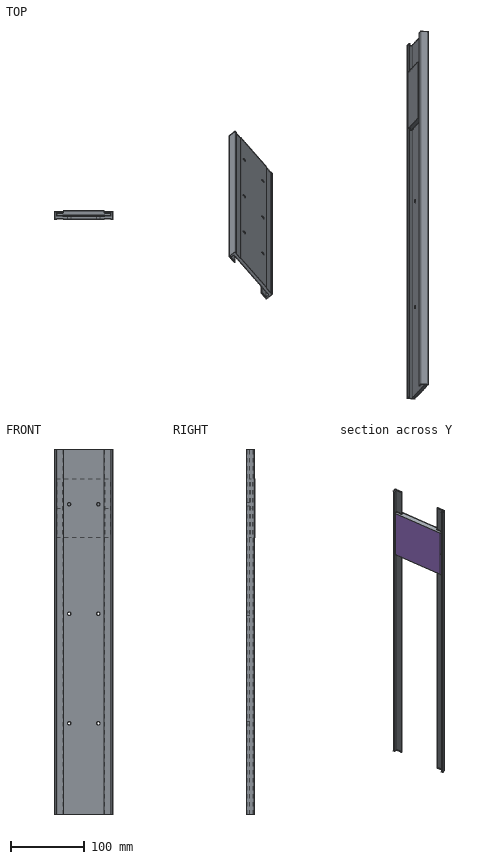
import cadquery as cq

rail_width = 80
rail_length = 500
rail_depth = 10.8
side_thickness = 2.5
floor_back = 4.5
lip_thickness = 1.4
lip_reach = 11.5
edge_radius = 0.5

middle_width = 56
groove_depth = 0.7
groove_fillet = 0.7

hole_diameter = 4.5
hole_spacing_x = 40
hole_pitch_z = 150
hole_rows = 3
top_hole_offset = 75

overall_depth = 12
carriage_length = 80
carriage_center_z = 169.4
neck_width = 56
shoulder_width = 58

glider_thickness = 1
gliders_per_side = 2

inner_x = rail_width / 2 - side_thickness
mouth_x = rail_width / 2 - lip_reach
lip_front = rail_depth - lip_thickness
flange_x = inner_x - glider_thickness
flange_front = floor_back + glider_thickness
flange_back = lip_front - glider_thickness
glider_length = carriage_length / gliders_per_side


def bar(left, right, front, back, length):
    """A bar along Z, centred on Z = 0, between two X and two Y positions."""
    return (
        cq.Workplane("XY")
        .box(right - left, back - front, length)
        .translate(((left + right) / 2, (front + back) / 2, 0))
    )


def centered_bar(half_width, front, back, length):
    return bar(-half_width, half_width, front, back, length)


def make_groove_tool():
    """Cutter for the right-hand groove, rounded where the groove floor meets the side wall."""
    tool = bar(middle_width / 2, inner_x, -groove_depth, groove_depth, rail_length)
    return tool.edges("|Z and >X and >Y").fillet(groove_fillet)


def make_hole_tools():
    top_hole_z = rail_length / 2 - top_hole_offset
    points = [
        (side * hole_spacing_x / 2, top_hole_z - row * hole_pitch_z)
        for side in (-1, 1)
        for row in range(hole_rows)
    ]
    holes = cq.Workplane("XZ").pushPoints(points).circle(hole_diameter / 2)
    return holes.extrude(-floor_back)


def make_rail():
    rail = centered_bar(rail_width / 2, 0, rail_depth, rail_length)
    rail = rail.edges("|Z").fillet(edge_radius)
    rail = rail.cut(centered_bar(inner_x, floor_back, lip_front, rail_length))
    rail = rail.cut(centered_bar(mouth_x, floor_back, rail_depth, rail_length))

    groove_tool = make_groove_tool()
    rail = rail.cut(groove_tool).cut(groove_tool.mirror("YZ"))
    for side in (-1, 1):
        middle_edge = cq.selectors.NearestToPointSelector((side * middle_width / 2, 0, 0))
        rail = rail.edges("|Z").edges(middle_edge).fillet(edge_radius)

    return rail.cut(make_hole_tools())


def make_carriage():
    flange = centered_bar(flange_x, flange_front, flange_back, carriage_length)
    shoulder = centered_bar(shoulder_width / 2, flange_front, lip_front, carriage_length)
    neck = centered_bar(neck_width / 2, flange_front, overall_depth, carriage_length)
    return flange.union(shoulder).union(neck).translate((0, 0, carriage_center_z))


def make_glider(side, center_z):
    """One pad filling the space between the flange edge and the rail."""
    pad = bar(shoulder_width / 2, inner_x, floor_back, lip_front, glider_length)
    slot = bar(shoulder_width / 2, flange_x, flange_front, flange_back, glider_length)
    glider = pad.cut(slot)
    if side < 0:
        glider = glider.mirror("YZ")
    return glider.translate((0, 0, center_z))


rail = make_rail()
carriage = make_carriage()

gliders = []
first_glider_z = carriage_center_z - (carriage_length - glider_length) / 2
for side in (-1, 1):
    for place in range(gliders_per_side):
        gliders.append(make_glider(side, first_glider_z + place * glider_length))

result = cq.Compound.makeCompound(
    [rail.val(), carriage.val(), *[glider.val() for glider in gliders]]
)